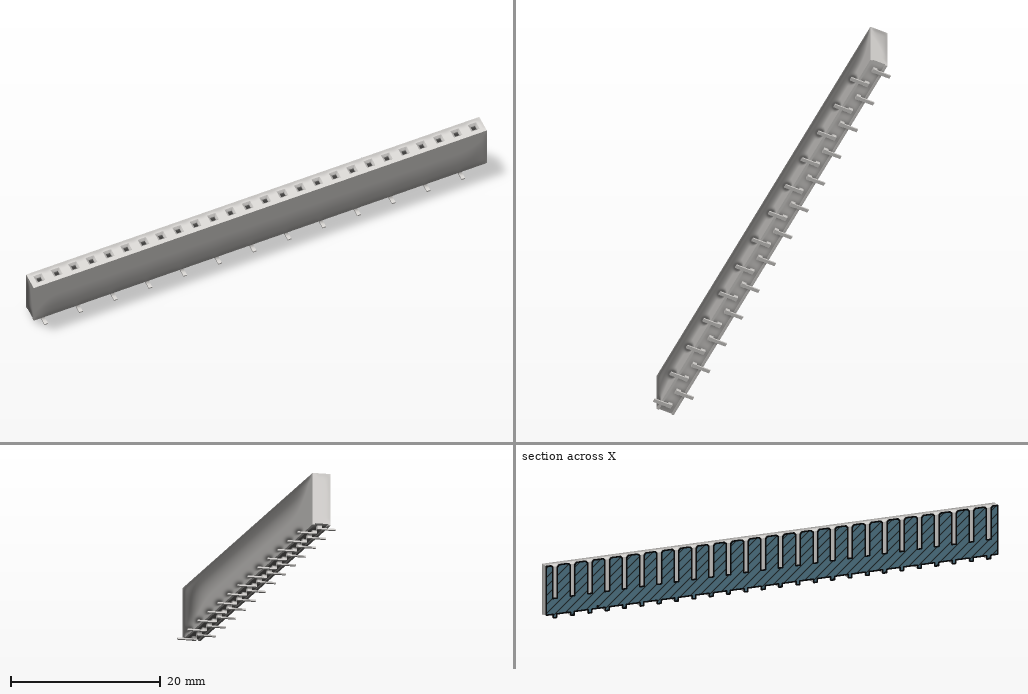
import cadquery as cq


strip_length = 66.25
feet_span = 4.65
total_height = 7.4

contact_count = 26
end_margin = 0.1
pitch = (strip_length - 2 * end_margin) / contact_count
housing_width = 2.5

rail_bottom = 0.3
channel_width = 1.85
channel_depth = 0.2
channel_roof = rail_bottom + channel_depth

socket_size = 0.61
lead_in_depth = 0.3
lead_in_size = socket_size + 2 * lead_in_depth
socket_depth = 4.65

stem_size = socket_size
foot_width = 0.51
foot_thickness = 0.2

contact_places = [(contact_count - 1) / 2 * pitch - pitch * index for index in range(contact_count)]
contact_points = [(0, place) for place in contact_places]


def make_housing():
    """Rectangular bar with an open channel along its underside."""
    bar = (
        cq.Workplane("XY", origin=(0, 0, rail_bottom))
        .rect(housing_width, strip_length)
        .extrude(total_height - rail_bottom)
    )
    channel = (
        cq.Workplane("XY", origin=(0, 0, rail_bottom))
        .rect(channel_width, strip_length)
        .extrude(channel_depth)
    )
    return bar.cut(channel)


def make_socket():
    """Cutter for one socket centred on the Z axis, opening at the top face."""
    lead_in = (
        cq.Workplane("XY", origin=(0, 0, total_height))
        .rect(lead_in_size, lead_in_size)
        .workplane(offset=-lead_in_depth)
        .rect(socket_size, socket_size)
        .loft(ruled=True)
    )
    hole = (
        cq.Workplane("XY", origin=(0, 0, total_height - socket_depth))
        .rect(socket_size, socket_size)
        .extrude(socket_depth)
    )
    return lead_in.union(hole)


def make_contact(side):
    """Stem hanging from the channel roof, with a foot reaching out to one side (-1 or +1 in X)."""
    foot_length = feet_span / 2
    stem = cq.Workplane("XY").rect(stem_size, stem_size).extrude(channel_roof)
    foot = (
        cq.Workplane("XY")
        .center(side * foot_length / 2, 0)
        .rect(foot_length, foot_width)
        .extrude(foot_thickness)
    )
    return stem.union(foot)


sockets = cq.Workplane("XY").pushPoints(contact_points).eachpoint(make_socket().val(), combine=False)
left_points = contact_points[0::2]
right_points = contact_points[1::2]
left_contacts = cq.Workplane("XY").pushPoints(left_points).eachpoint(make_contact(-1).val(), combine=False)
right_contacts = cq.Workplane("XY").pushPoints(right_points).eachpoint(make_contact(1).val(), combine=False)

result = make_housing().cut(sockets).union(left_contacts).union(right_contacts)